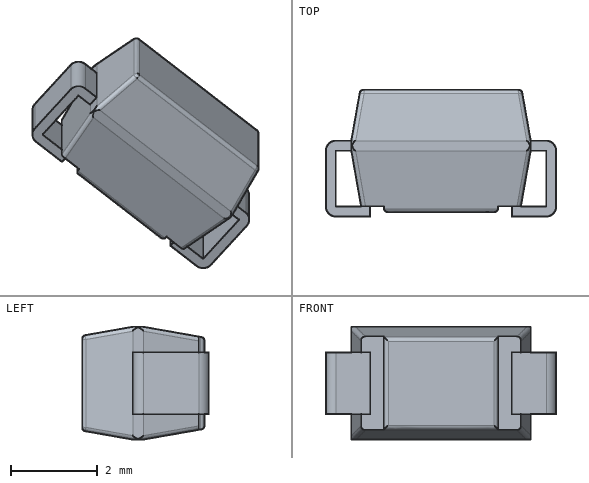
import cadquery as cq
import math

overall_length = 5.3
overall_depth = 2.92

lead_thickness = 0.235
lead_width = 1.42
lead_foot_length = 1.02
lead_height = 1.75

body_length = 4.13
body_width = 2.6
draft_angle = 10.0
edge_radius = 0.1

pad_length = 2.63
pad_clearance = 0.1

band_back = lead_height
band_front = lead_height - lead_thickness
step_face = lead_thickness


def drafted_block(band_edge, small_end, large_end):
    """Block along Y with rounded corners, tapering to small_end; it has the band section at band_edge."""
    def growth(y):
        return 2 * abs(y - band_edge) * math.tan(math.radians(draft_angle))

    block = (
        cq.Workplane("XZ", origin=(0, small_end, 0))
        .rect(body_length - growth(small_end), body_width - growth(small_end))
        .workplane(offset=small_end - large_end)
        .rect(body_length + growth(large_end), body_width + growth(large_end))
        .loft(ruled=True, combine=True)
    )
    return block.edges("not(|X or |Y or |Z)").fillet(edge_radius)


def make_body():
    """Drafted body with rounded corners, end steps and a round-edged pad."""
    body_depth = overall_depth - pad_clearance
    band = (
        cq.Workplane("XZ", origin=(0, pad_clearance, 0))
        .rect(body_length, body_width)
        .extrude(-body_depth)
    )
    body = (
        band.intersect(drafted_block(band_back, overall_depth, pad_clearance))
        .intersect(drafted_block(band_front, pad_clearance, overall_depth))
    )
    body = body.faces(">Y").edges().fillet(edge_radius)

    step_depth = step_face - pad_clearance
    step_length = (body_length - pad_length) / 2
    step_center = (body_length + pad_length) / 4
    for side in (-1, 1):
        step = cq.Workplane("XY").box(step_length, step_depth, body_width)
        body = body.cut(step.translate((side * step_center, pad_clearance + step_depth / 2, 0)))

    return body.faces("<Y").edges().fillet(edge_radius)


def make_lead(side):
    """C-shaped lead at the end of the body given by side (-1 or 1)."""
    outer_x = overall_length / 2
    inner_x = outer_x - lead_thickness
    foot_x = outer_x - lead_foot_length
    bend_radius = lead_thickness
    bend_mid = bend_radius * (1 - math.sqrt(0.5))
    lead = (
        cq.Workplane("XY", origin=(0, 0, -lead_width / 2))
        .moveTo(foot_x, 0)
        .lineTo(outer_x - bend_radius, 0)
        .threePointArc((outer_x - bend_mid, bend_mid), (outer_x, bend_radius))
        .lineTo(outer_x, lead_height - bend_radius)
        .threePointArc((outer_x - bend_mid, lead_height - bend_mid), (outer_x - bend_radius, lead_height))
        .lineTo(foot_x, lead_height)
        .lineTo(foot_x, band_front)
        .lineTo(inner_x, band_front)
        .lineTo(inner_x, lead_thickness)
        .lineTo(foot_x, lead_thickness)
        .close()
        .extrude(lead_width)
    )
    return lead if side > 0 else lead.mirror("YZ")


result = make_body()
for end in (-1, 1):
    result = result.union(make_lead(end))